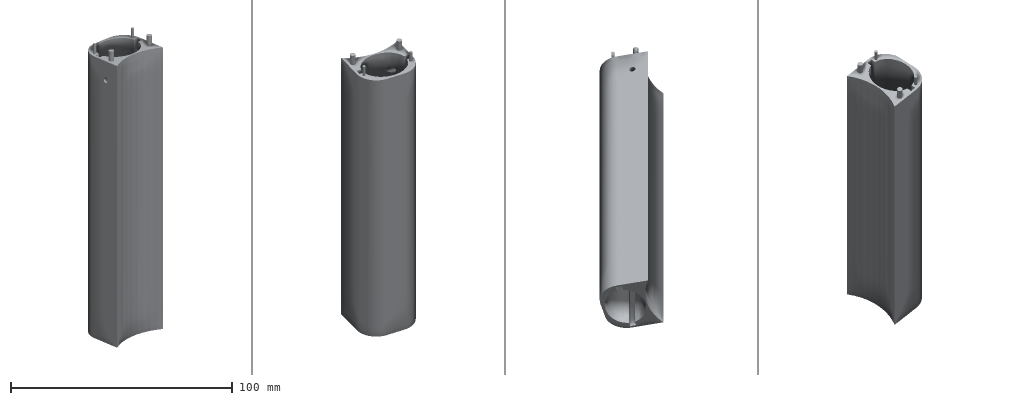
import cadquery as cq

total_height = 145.0
pin_height = 5.0
body_height = total_height - pin_height
length = 24.6
width = 29.0
half_width = width / 2
corner_radius = 10.0
hollow_depth = 4.0

bore_x = 10.6
bore_radius_x = 9.3
bore_radius_y = 11.2

keyway_x = 10.9
keyway_width = 2.8
keyway_span = 26.7

pin_offset_y = 12.0
small_pin_x = 7.7
small_pin_diameter = 1.4
large_pin_x = 18.4
large_pin_diameter = 2.5

cross_hole_x = 17.4
cross_hole_drop = 9.4
cross_hole_diameter = 2.8


def make_body():
    """Column with two rounded corners and a concave +X face."""
    return (
        cq.Workplane("XY")
        .moveTo(0, -half_width)
        .lineTo(length, -half_width)
        .threePointArc((length - hollow_depth, 0), (length, half_width))
        .lineTo(0, half_width)
        .close()
        .extrude(body_height)
        .edges("|Z and <X")
        .fillet(corner_radius)
    )


def make_bore():
    """Elliptical opening through the full body height."""
    return cq.Workplane("XY").center(bore_x, 0).ellipse(bore_radius_x, bore_radius_y).extrude(body_height)


def make_keyways():
    """One bar across the bore cuts both keyways."""
    return cq.Workplane("XY").center(keyway_x, 0).rect(keyway_width, keyway_span).extrude(body_height)


def make_cross_hole():
    """Drill from the -Y face to the middle of the bore."""
    return (
        cq.Workplane("XZ", origin=(cross_hole_x, -half_width, body_height - cross_hole_drop))
        .circle(cross_hole_diameter / 2)
        .extrude(-half_width)
    )


def make_pin_pair(x, diameter):
    """Two pins rising from the top face; they start inside the body for a sound joint."""
    return (
        cq.Workplane("XY")
        .workplane(offset=body_height - pin_height)
        .pushPoints([(x, -pin_offset_y), (x, pin_offset_y)])
        .circle(diameter / 2)
        .extrude(2 * pin_height)
    )


result = make_body().cut(make_bore()).cut(make_keyways()).cut(make_cross_hole())
for pin_x, pin_diameter in ((small_pin_x, small_pin_diameter), (large_pin_x, large_pin_diameter)):
    result = result.union(make_pin_pair(pin_x, pin_diameter))